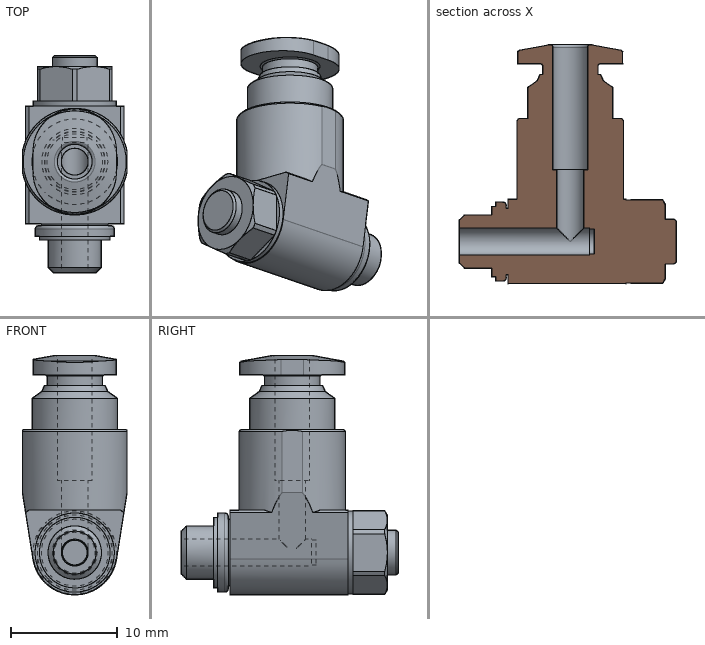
import cadquery as cq
import math


body_front, body_back = -5.82, 5.2
body_radius = 3.96
body_top = 3.96
side_lean = math.radians(9)
edge_drop, edge_inset = 0.22, 0.35

tower_radius = 5.0
tower_half_width = 4.9
tower_top = 11.5
tower_chamfer_height, tower_chamfer_inset = 0.18, 0.18

cartridge_radius = 8.0 / 2
shoulder_bottom, shoulder_break, shoulder_top = 14.42, 15.07, 15.63
shoulder_break_radius, shoulder_top_radius = 3.1, 2.85
neck_radius = 5.2 / 2
collar_bottom, collar_radius = 16.5, 2.8
button_bottom, button_rim, button_top = 16.61, 17.91, 18.43
button_length, button_width = 9.85, 7.8
button_mouth_radius = 1.9
button_dome_radius, button_rim_drop = 4.75, 0.13

stud_end, stud_radius, stud_chamfer = -10.4, 5.0 / 2, 0.5
seal_step_front, seal_step_radius = -7.35, 6.6 / 2
seal_front, seal_back, seal_radius = -6.99, -5.98, 7.4 / 2
seal_round = 0.34
spacer_radius = 6.25 / 2
washer_back, washer_radius = 5.69, 7.8 / 2
nut_back, nut_flats, nut_corner_radius = 8.9, 7.0, 3.92
nut_chamfer_depth = 0.25
pin_end, pin_radius, pin_chamfer = 9.92, 4.2 / 2, 0.2

passage_radius = 2.5 / 2
tube_radius = 3.25 / 2
tube_floor = 6.72
mouth_round = button_mouth_radius - tube_radius
cross_bore_step, cross_bore_end = 1.8, 2.25
cross_bore_tip_radius = 2.3 / 2


def turned_z(points):
    """Revolve (radius, z) points about the Z axis."""
    return cq.Workplane("XZ").polyline(points).close().revolve(360, (0, 0), (0, 1))


def turned_y(points):
    """Revolve (radius, y) points about the Y axis."""
    return cq.Workplane("XY").polyline(points).close().revolve(360, (0, 0), (0, 1))


def cylinder_y(radius, start, end):
    return cq.Workplane("XZ", origin=(0, start, 0)).circle(radius).extrude(start - end)


def side_x(z):
    """Half width between the leaning sides, tangent to the round bottom."""
    return (body_radius + z * math.sin(side_lean)) / math.cos(side_lean)


def leaning_prism(top, start, end, inset=0.0, drop=0.0):
    """Round-bottomed prism along Y with leaning sides and bevelled top edges."""
    tangent_x = body_radius * math.cos(side_lean)
    tangent_z = -body_radius * math.sin(side_lean)
    shoulder_x = side_x(top - drop)
    top_x = side_x(top) - inset
    profile = cq.Workplane("XZ", origin=(0, start, 0)).moveTo(tangent_x, tangent_z)
    profile = profile.lineTo(shoulder_x, top - drop)
    if drop:
        profile = profile.lineTo(top_x, top).lineTo(-top_x, top)
    profile = profile.lineTo(-shoulder_x, top - drop).lineTo(-tangent_x, tangent_z)
    return profile.threePointArc((0, -body_radius), (tangent_x, tangent_z)).close().extrude(start - end)


def make_body():
    return leaning_prism(body_top, body_front, body_back, edge_inset, edge_drop)


def make_tower():
    tower = turned_z([
        (0, 0),
        (tower_radius, 0),
        (tower_radius, tower_top - tower_chamfer_height),
        (tower_radius - tower_chamfer_inset, tower_top),
        (0, tower_top),
    ])
    flats = cq.Workplane("XY").rect(2 * tower_half_width, 2 * tower_radius).extrude(tower_top)
    return tower.intersect(flats).intersect(leaning_prism(tower_top, -tower_radius, tower_radius))


def make_cartridge():
    return turned_z([
        (0, tower_top),
        (cartridge_radius, tower_top),
        (cartridge_radius, shoulder_bottom),
        (shoulder_break_radius, shoulder_break),
        (shoulder_top_radius, shoulder_top),
        (neck_radius, shoulder_top),
        (neck_radius, collar_bottom),
        (collar_radius, button_bottom),
        (0, button_bottom),
    ])


def make_button():
    oval = (
        cq.Workplane("XY", origin=(0, 0, button_bottom))
        .slot2D(button_length, button_width, 90)
        .extrude(button_top - button_bottom)
    )
    dome = turned_z([
        (0, button_bottom),
        (button_length / 2, button_bottom),
        (button_length / 2, button_rim - button_rim_drop),
        (button_dome_radius, button_rim),
        (button_mouth_radius, button_top),
        (0, button_top),
    ])
    return oval.intersect(dome)


def make_front_stud():
    stud = cylinder_y(stud_radius, stud_end, body_front).faces("<Y").chamfer(stud_chamfer)
    step = cylinder_y(seal_step_radius, seal_step_front, seal_front)
    seal = cylinder_y(seal_radius, seal_front, seal_back).faces(">Y").edges().fillet(seal_round)
    spacer = cylinder_y(spacer_radius, seal_back, body_front)
    return stud.union(step).union(seal).union(spacer)


def make_nut():
    hexagon = (
        cq.Workplane("XZ", origin=(0, washer_back, 0))
        .polygon(6, nut_flats, circumscribed=True)
        .extrude(washer_back - nut_back)
    )
    envelope = turned_y([
        (0, washer_back),
        (nut_corner_radius, washer_back),
        (nut_corner_radius, nut_back - nut_chamfer_depth),
        (nut_flats / 2, nut_back),
        (0, nut_back),
    ])
    washer = cylinder_y(washer_radius, body_back, washer_back)
    pin = cylinder_y(pin_radius, nut_back, pin_end).faces(">Y").chamfer(pin_chamfer)
    return washer.union(hexagon.intersect(envelope)).union(pin)


def make_tube_bore():
    """Stepped bore down to the cross bore, with a rounded mouth in the button."""
    arc_offset = mouth_round * (1 - math.sqrt(0.5))
    return (
        cq.Workplane("XZ")
        .lineTo(passage_radius, 0)
        .lineTo(passage_radius, tube_floor)
        .lineTo(tube_radius, tube_floor)
        .lineTo(tube_radius, button_top - mouth_round)
        .threePointArc((tube_radius + arc_offset, button_top - arc_offset), (button_mouth_radius, button_top))
        .lineTo(0, button_top)
        .close()
        .revolve(360, (0, 0), (0, 1))
    )


def make_cross_bore():
    bore = cylinder_y(passage_radius, stud_end, cross_bore_step)
    tip = cylinder_y(cross_bore_tip_radius, cross_bore_step, cross_bore_end)
    return bore.union(tip)


result = (
    make_body()
    .union(make_tower())
    .union(make_cartridge())
    .union(make_button())
    .union(make_front_stud())
    .union(make_nut())
    .cut(make_tube_bore())
    .cut(make_cross_bore())
)